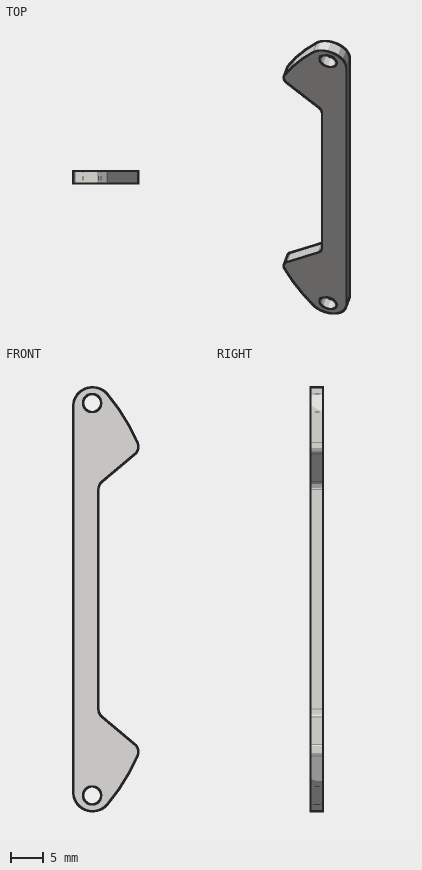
import cadquery as cq
import math

length = 65.9
thickness = 2.0
neck_width = 3.95

end_radius = 3.0
end_arc_angle = math.radians(40)
hole_diameter = 2.8
hole_x = 2.95
hole_spacing = 60.95

tip_x = 10.5
tip_z = 23.25
flank_angle = math.radians(40)
tip_radius = 1.5
neck_fillet = 1.65

half_length = length / 2
end_center_z = half_length - end_radius
neck_corner_z = tip_z - (tip_x - neck_width) * math.tan(flank_angle)


def end_point(angle):
    """Point on the upper end round, with the angle measured from +X."""
    x = end_radius + end_radius * math.cos(angle)
    z = end_center_z + end_radius * math.sin(angle)
    return (x, z)


def make_half_plate():
    """Upper half of the plate, from the mid plane to the rounded end."""
    half = (
        cq.Workplane("XZ")
        .lineTo(0, end_center_z)
        .threePointArc(end_point(math.pi / 2), end_point(end_arc_angle))
        .tangentArcPoint((tip_x, tip_z), relative=False)
        .lineTo(neck_width, neck_corner_z)
        .lineTo(neck_width, 0)
        .close()
        .extrude(thickness / 2, both=True)
    )
    tip_edge = cq.selectors.NearestToPointSelector((tip_x, 0, tip_z))
    neck_edge = cq.selectors.NearestToPointSelector((neck_width, 0, neck_corner_z))
    half = half.edges("|Y").edges(tip_edge).fillet(tip_radius)
    return half.edges("|Y").edges(neck_edge).fillet(neck_fillet)


def make_holes():
    """Through-hole cutters at both ends."""
    hole_z = hole_spacing / 2
    return (
        cq.Workplane("XZ", origin=(0, thickness, 0))
        .pushPoints([(hole_x, hole_z), (hole_x, -hole_z)])
        .circle(hole_diameter / 2)
        .extrude(2 * thickness)
    )


upper_half = make_half_plate()
plate = upper_half.union(upper_half.mirror("XY")).clean()
result = plate.cut(make_holes())